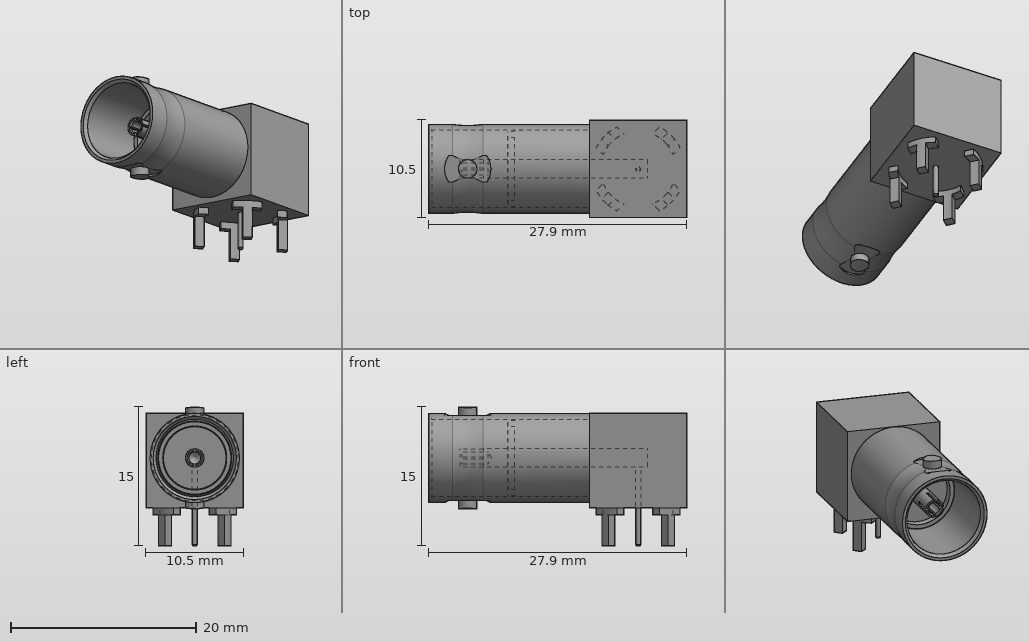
import cadquery as cq


barrel_radius = 4.82
bore_radius = 4.18
mouth_radius = 4.49
mouth_chamfer_length = 0.38
waist_half_length = 1.64
waist_depth = 0.13

lug_x = 4.22
lug_radius = 1.0
lug_reach = 5.5
spotface_radius = 2.5
spotface_height = 4.6

total_length = 27.89
block_side = 10.52
block_bottom = -5.4
block_top = 4.85
block_start = total_length - block_side
block_center_x = block_start + block_side / 2

ring_outer_radius = 5.08
ring_inner_radius = 4.08
standoff_width = 3.15
standoff_height = 0.75
leg_width = 1.0
leg_bottom = -9.48
leg_angles = [45, 135, 225, 315]

insulator_face_x = 8.5
nose_length = 1.5
nose_radius = 3.99
tip_chamfer = 0.08
recess_depth = 0.8
recess_mouth_radius = 3.46
recess_floor_radius = 3.38

contact_radius = 1.0
contact_tip_x = 3.4
socket_radius = 0.65
socket_mouth_radius = 0.82
socket_chamfer_length = 0.2
socket_depth = 3.0
socket_cone_length = 0.4
slot_width = 0.25
slot_depth = 2.5
tail_radius = 0.28
tail_chamfer_length = 0.15
tail_chamfer_radius = 0.2


def revolve_about_x(outline):
    """Close a half outline drawn in XY, with Y as radius, and turn it about the X axis."""
    return outline.close().revolve(360, (0, 0, 0), (1, 0, 0))


def vertical_cylinder(x, radius, bottom, top):
    return cq.Workplane("XY", origin=(x, 0, bottom)).circle(radius).extrude(top - bottom)


def axial_cylinder(radius, start, end):
    return cq.Workplane("YZ", origin=(start, 0, 0)).circle(radius).extrude(end - start)


def make_barrel():
    """Tube with an arc-shaped waist, two spotfaces and a bayonet lug on each spotface."""
    body = revolve_about_x(
        cq.Workplane("XY")
        .moveTo(0, mouth_radius)
        .lineTo(0, barrel_radius)
        .lineTo(lug_x - waist_half_length, barrel_radius)
        .threePointArc(
            (lug_x, barrel_radius - waist_depth),
            (lug_x + waist_half_length, barrel_radius),
        )
        .lineTo(block_start, barrel_radius)
        .lineTo(block_start, bore_radius)
        .lineTo(mouth_chamfer_length, bore_radius)
    )
    spotfaces = vertical_cylinder(lug_x, spotface_radius, spotface_height, lug_reach)
    spotfaces = spotfaces.union(spotfaces.mirror("XY"))

    lug_root_radius = (bore_radius + spotface_height) / 2
    lug_post = vertical_cylinder(lug_x, lug_radius, -lug_reach, lug_reach)
    lug_envelope = axial_cylinder(lug_reach, 0, block_start)
    lugs = lug_post.intersect(lug_envelope).cut(axial_cylinder(lug_root_radius, 0, block_start))

    return body.cut(spotfaces).union(lugs)


def make_ring_segment(angle, width, bottom):
    """Part of the leg ring that a straight slab of the given width keeps at one angle."""
    height = block_bottom - bottom
    ring = cq.Workplane("XY").circle(ring_outer_radius).circle(ring_inner_radius).extrude(height)
    slab = cq.Workplane("XY").rect(ring_outer_radius, width).extrude(height)
    slab = slab.translate((ring_outer_radius, 0, 0))
    segment = ring.intersect(slab).rotate((0, 0, 0), (0, 0, 1), angle)
    return segment.translate((block_center_x, 0, bottom))


def make_contact():
    """Socket along the barrel axis, joined to the tail at the center of the block."""
    rod = axial_cylinder(contact_radius, contact_tip_x, block_center_x + contact_radius)
    socket_end = contact_tip_x + socket_depth
    socket = revolve_about_x(
        cq.Workplane("XY")
        .moveTo(contact_tip_x, 0)
        .lineTo(contact_tip_x, socket_mouth_radius)
        .lineTo(contact_tip_x + socket_chamfer_length, socket_radius)
        .lineTo(socket_end, socket_radius)
        .lineTo(socket_end + socket_cone_length, 0)
    )
    rod = rod.cut(socket)
    for angle in (0, 90):
        slot = (
            cq.Workplane("YZ", origin=(contact_tip_x, 0, 0))
            .rect(2 * contact_radius, slot_width)
            .extrude(slot_depth)
            .rotate((0, 0, 0), (1, 0, 0), angle)
        )
        rod = rod.cut(slot)

    tail = vertical_cylinder(block_center_x, tail_radius, leg_bottom, 0)
    tail = tail.faces("<Z").chamfer(tail_chamfer_length, tail_radius - tail_chamfer_radius)
    return rod.union(tail)


def make_insulator():
    """Plug that fills the bore, with a tapered nose, a shallow recess and a contact hole."""
    recess_floor_x = insulator_face_x + recess_depth
    return revolve_about_x(
        cq.Workplane("XY")
        .moveTo(recess_floor_x, contact_radius)
        .lineTo(recess_floor_x, recess_floor_radius)
        .lineTo(insulator_face_x, recess_mouth_radius)
        .lineTo(insulator_face_x, nose_radius - tip_chamfer)
        .lineTo(insulator_face_x + tip_chamfer, nose_radius)
        .lineTo(insulator_face_x + nose_length, bore_radius)
        .lineTo(block_start, bore_radius)
        .lineTo(block_start, contact_radius)
    )


def make_housing(contact):
    """Block with four legs on standoffs, and a passage that matches the contact."""
    block = (
        cq.Workplane("XY", origin=(block_center_x, 0, block_bottom))
        .rect(block_side, block_side)
        .extrude(block_top - block_bottom)
    )
    for angle in leg_angles:
        standoff = make_ring_segment(angle, standoff_width, block_bottom - standoff_height)
        leg = make_ring_segment(angle, leg_width, leg_bottom)
        block = block.union(standoff).union(leg)
    return block.cut(contact)


barrel = make_barrel()
contact = make_contact()
insulator = make_insulator()
housing = make_housing(contact)

result = cq.Compound.makeCompound([barrel.val(), insulator.val(), contact.val(), housing.val()])